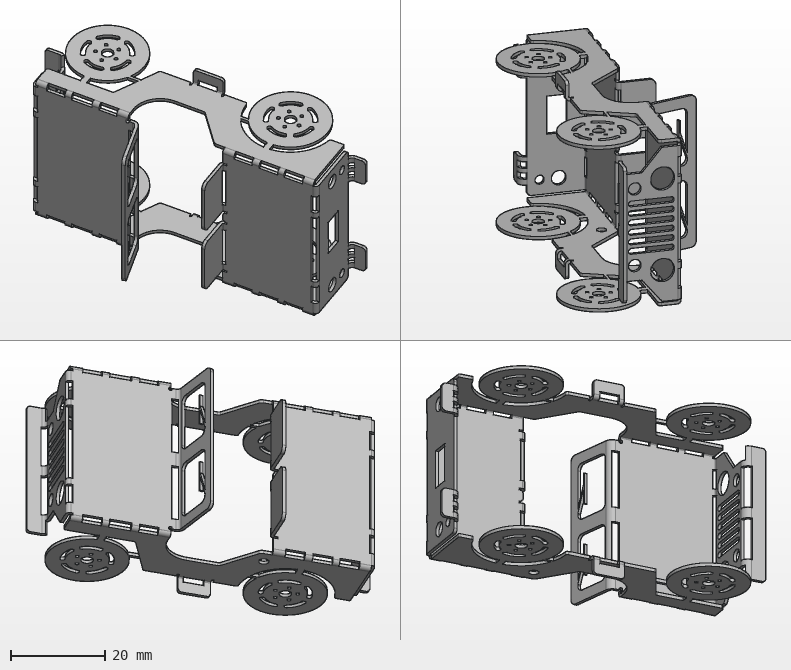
import cadquery as cq
import math


thick = 0.8
tight_inner = 0.19
wide_inner = 0.9
tight_outer = tight_inner + thick
wide_outer = wide_inner + thick
relief = 0.5

front_tip = -38.5
rear_tip = 38.5
grille_x = -34.15
rear_x = 34.85
side_z = 18.85
side_inner_z = side_z - thick
side_bend_z = side_z - tight_outer
hood_front = grille_x + tight_outer
floor_rear = rear_x - tight_outer
hood_rear = -10.85
floor_front = 12.0

front_side_slots = [(-30.55, -26.15), (-24.55, -19.6), (-17.85, -13.6)]
rear_side_slots = [(14.8, 19.1), (20.85, 25.3), (26.85, 31.3)]
end_slots = [(-14.9, -10.5), (-8.9, 8.9), (10.5, 14.9)]

grille_top_y = 12.7
grille_corner_y = 9.0
grille_shoulder_y = 4.55
grille_top_z = 12.15
grille_z = 17.5
bumper_z = 15.4
front_bumper_corner = 0.8
front_bumper_slots = [(-10.8, -1.2), (1.2, 10.8)]
front_bumper_relief = 0.2
bumper_ear_angle = 45
headlight_y = 4.4
headlight_z = 10.4
headlight_radius = 2.6
marker_y = 10.55
marker_z = 8.7
marker_radius = 1.4
grille_slot_count = 6
grille_slot_pitch = 2.15
grille_slot_width = 1.3
grille_slot_bottom = 1.85
grille_slot_top = 11.9

windshield_angle = 75
windshield_bend_x = -9.8
windshield_length = 11.3
windshield_z = 17.2
windshield_corner = 1.4
window_near = 0.3
window_far = 9.1
window_z = (1.7, 14.7)
window_corner = 1.4
hood_slot_x = -10.7
hood_slot_angle = 60
corner_relief_radius = 0.4
corner_relief_inset = 0.15
wiper_width = 0.4
wiper_blade_near = 6.9
wiper_blade_z = (5.1, 12.1)
wiper_arm_width = 0.4
wiper_arm_start = (7.15, 9.2)
wiper_arm_end = (9.2, 3.5)

seat_x = 11.3
seat_height = 7.9
seat_z = (1.7, 14.8)
seat_corner = 1.4
seat_slot_z = (3.55, 13.1)
seat_notch_width = 0.4
seat_notch_depth = 1.0
seat_tongue_corner = 0.9

rear_top_y = 13.7
rear_z = 17.85
rear_corner = 0.9
rear_bumper_z = (8.9, 15.4)
rear_bumper_corner = 0.9
rear_bumper_slots = [(10.1, 11.55), (12.6, 14.0)]
tail_hole_y = 10.9
tail_hole_radius = 1.0
lamp_hole_y = 6.7
lamp_hole_radius = 1.6
lamp_z = 14.5
rear_window_y = (4.9, 9.3)
rear_window_z = 4.3

front_wheel_x = -24.4
rear_wheel_x = 19.85
wheel_y = 15.55
wheel_radius = 8.9
hub_radius = 1.3
spoke_count = 5
lug_circle = 2.6
lug_radius = 0.4
slot_circle = 5.2
slot_half_width = 0.55
slot_mid_angle = -98
slot_half_angle = 22
link_width = 1.55
link_overlap = 0.8
link_bar_y = (10.7, 11.4)
link_bar_reach = (7.3, 10.8)

fender_radius = 10.55
side_front = -33.2
side_rear = 33.8
rail_y = wheel_y - fender_radius
sill_y = 15.8
rear_fender_y = 13.9
cowl_foot_x = -17.15
cowl_top_x = -11.85
door_top_y = 8.85
door_radius = 6.4
door_corner_x = 2.85
door_rear_x = 9.55

step_x = (-3.9, 3.3)
full_width = 44.85
step_z = full_width / 2
step_corner = 0.8
step_slot_x = (-2.8, 1.85)
step_slot_relief = 0.85
step_notch_width = 0.5
step_notch_depth = 0.8
step_notch_corner = 0.19

side_hole_x = 11.2
side_hole_y = 4.15
side_hole_radius = 1.1


def block(x, y, z):
    """Box between the (low, high) pairs x, y and z."""
    size = [high - low for low, high in (x, y, z)]
    return cq.Workplane("XY").box(*size, centered=False).translate((x[0], y[0], z[0]))


def mirrored(span):
    return (-span[1], -span[0])


def bend(center, inner, start, end, span, plane="XY"):
    """Sheet bend: a ring sector between two angles, extruded over span along the plane normal."""
    def point(radius, degrees):
        angle = math.radians(degrees)
        return (center[0] + radius * math.cos(angle), center[1] + radius * math.sin(angle))

    outer = inner + thick
    middle = (start + end) / 2
    return (
        cq.Workplane(plane).workplane(offset=span[0])
        .moveTo(*point(inner, start))
        .threePointArc(point(inner, middle), point(inner, end))
        .lineTo(*point(outer, end))
        .threePointArc(point(outer, middle), point(outer, start))
        .close().extrude(span[1] - span[0])
    )


def round_corner(body, point, radius, axis):
    """Fillet the edge along axis that lies nearest to point."""
    edge = body.edges("|" + axis).edges(cq.selectors.NearestToPointSelector(point))
    return edge.fillet(radius)


def x_cylinder(x, y, z, radius):
    """Cutter along X through one sheet that starts at x."""
    plane = cq.Workplane("YZ").workplane(offset=x)
    return plane.center(y, z).circle(radius).extrude(thick)


def wheel(x):
    body = cq.Workplane("XY").workplane(offset=side_inner_z).center(x, wheel_y)
    disc = body.circle(wheel_radius).extrude(thick)
    disc = disc.cut(body.circle(hub_radius).extrude(thick))
    lugs = body.polarArray(lug_circle, -90, 360, spoke_count).circle(lug_radius).extrude(thick)
    disc = disc.cut(lugs)
    for index in range(spoke_count):
        middle = slot_mid_angle + index * 360 / spoke_count
        disc = disc.cut(wheel_slot(x, middle))
    return disc


def wheel_slot(x, middle):
    def point(radius, degrees):
        angle = math.radians(degrees)
        return (x + radius * math.cos(angle), wheel_y + radius * math.sin(angle))

    inner = slot_circle - slot_half_width
    outer = slot_circle + slot_half_width
    start = middle - slot_half_angle
    end = middle + slot_half_angle
    cap = math.degrees(slot_half_width / slot_circle)
    return (
        cq.Workplane("XY").workplane(offset=side_inner_z)
        .moveTo(*point(inner, start))
        .threePointArc(point(inner, middle), point(inner, end))
        .threePointArc(point(slot_circle, end + cap), point(outer, end))
        .threePointArc(point(outer, middle), point(outer, start))
        .threePointArc(point(slot_circle, start - cap), point(inner, start))
        .close().extrude(thick)
    )


def side_panel():
    fender_front_x = rear_wheel_x - math.sqrt(fender_radius**2 - (sill_y - wheel_y) ** 2)
    fender_rear_x = rear_wheel_x + math.sqrt(fender_radius**2 - (rear_fender_y - wheel_y) ** 2)
    door_arc_x = hood_rear + door_radius
    door_arc_y = door_top_y - door_radius
    diagonal = door_radius * math.sqrt(0.5)
    panel = (
        cq.Workplane("XY").workplane(offset=side_inner_z)
        .moveTo(side_front, tight_outer)
        .lineTo(side_front, rail_y)
        .lineTo(cowl_foot_x, rail_y)
        .lineTo(cowl_top_x, sill_y)
        .lineTo(fender_front_x, sill_y)
        .threePointArc((rear_wheel_x, rail_y), (fender_rear_x, rear_fender_y))
        .lineTo(side_rear, rear_fender_y)
        .lineTo(side_rear, tight_outer)
        .lineTo(door_rear_x, tight_outer)
        .lineTo(door_corner_x, door_top_y)
        .lineTo(door_arc_x, door_top_y)
        .threePointArc((door_arc_x - diagonal, door_arc_y + diagonal), (hood_rear, door_arc_y))
        .lineTo(hood_rear, tight_outer)
        .close().extrude(thick)
    )
    corners = [
        (side_front, rail_y, 0.6),
        (cowl_foot_x, rail_y, 0.6),
        (cowl_top_x, sill_y, 0.6),
        (fender_front_x, sill_y, 0.5),
        (fender_rear_x, rear_fender_y, 0.6),
        (side_rear, rear_fender_y, 0.3),
        (door_corner_x, door_top_y, 0.8),
        (door_rear_x, tight_outer, 1.15),
    ]
    for x, y, radius in corners:
        panel = round_corner(panel, (x, y, side_z), radius, "Z")
    sheet = (side_inner_z, side_z)
    for x in (step_x[0] - step_notch_width, step_x[1]):
        notch = block((x, x + step_notch_width), (sill_y - step_notch_depth, sill_y), sheet)
        panel = panel.cut(notch.edges("|Z and <Y").fillet(step_notch_corner))
    return panel


def wheel_links(x, bar_side):
    """Upright link below the wheel and the level bar towards the middle of the car."""
    sheet = (side_inner_z, side_z)
    half = link_width / 2
    upright_y = (rail_y - link_overlap, wheel_y - wheel_radius + link_overlap)
    upright = block((x - half, x + half), upright_y, sheet)
    ends = sorted(x + bar_side * reach for reach in link_bar_reach)
    return upright.union(block(ends, link_bar_y, sheet))


def side_step():
    bend_z = side_z + tight_inner
    step_y = sill_y + tight_inner
    plate = block(step_x, (step_y, step_y + thick), (bend_z, step_z))
    plate = plate.edges("|Y and >Z").fillet(step_corner)
    return plate.union(bend((sill_y, bend_z), tight_inner, 270, 360, step_x, "YZ"))


def side():
    """Side at +Z with its wheels, step and the bends that join it to the hood and the floor."""
    body = side_panel().union(side_step())
    for x, bar_side in ((front_wheel_x, 1), (rear_wheel_x, -1)):
        body = body.union(wheel_links(x, bar_side)).union(wheel(x))
    slot_y = (sill_y, sill_y + tight_outer)
    slot_z = (side_inner_z, side_z + tight_inner + step_slot_relief)
    body = body.cut(block(step_slot_x, slot_y, slot_z))
    for ends in ((side_front, hood_rear), (floor_front, floor_rear)):
        body = body.union(bend((tight_outer, side_bend_z), tight_inner, 90, 180, ends, "YZ"))
    return body


def grille():
    outline = [
        (tight_outer, -grille_z),
        (grille_shoulder_y, -grille_z),
        (grille_corner_y, -grille_top_z),
        (grille_top_y, -grille_top_z),
        (grille_top_y, grille_top_z),
        (grille_corner_y, grille_top_z),
        (grille_shoulder_y, grille_z),
        (tight_outer, grille_z),
    ]
    panel = cq.Workplane("YZ").workplane(offset=grille_x).polyline(outline).close().extrude(thick)
    for sign in (-1, 1):
        panel = panel.cut(x_cylinder(grille_x, headlight_y, sign * headlight_z, headlight_radius))
        panel = panel.cut(x_cylinder(grille_x, marker_y, sign * marker_z, marker_radius))
    slots = (
        cq.Workplane("YZ").workplane(offset=grille_x)
        .center((grille_slot_bottom + grille_slot_top) / 2, 0)
        .rarray(0.8, grille_slot_pitch, 1, grille_slot_count)
        .slot2D(grille_slot_top - grille_slot_bottom, grille_slot_width)
        .extrude(thick)
    )
    return panel.cut(slots)


def front_bumper():
    bend_x = grille_x - wide_inner
    plate_y = grille_top_y + wide_inner
    center = (bend_x, grille_top_y)
    plate = block((front_tip, bend_x), (plate_y, plate_y + thick), (-bumper_z, bumper_z))
    plate = plate.edges("|Y and <X").fillet(front_bumper_corner)
    body = plate.union(bend(center, wide_inner, 0, 90, (-grille_top_z, grille_top_z)))
    body = body.union(bend(center, wide_inner, bumper_ear_angle, 90, (-bumper_z, bumper_z)))
    slot_x = (bend_x - front_bumper_relief, grille_x + thick)
    for span in front_bumper_slots:
        body = body.cut(block(slot_x, (grille_top_y, plate_y + thick), span))
    return body


def hood():
    """Hood with its narrower tongue that leads to the windshield bend."""
    panel = block((hood_front, hood_rear), (0, thick), (-grille_z, grille_z))
    rear_part = (hood_front + relief, hood_rear)
    panel = panel.union(block(rear_part, (0, thick), (-side_bend_z, side_bend_z)))
    panel = panel.union(block((hood_rear, windshield_bend_x), (0, thick), (-windshield_z, windshield_z)))
    relief_z = windshield_z - corner_relief_inset
    centers = [(hood_rear - corner_relief_inset, z) for z in (-relief_z, relief_z)]
    holes = cq.Workplane("XZ").pushPoints(centers).circle(corner_relief_radius).extrude(-thick)
    return panel.cut(holes)


def windshield():
    end_angle = 90 - windshield_angle
    center = (windshield_bend_x, -wide_inner)
    direction = math.radians(end_angle)
    normal = (math.cos(direction), math.sin(direction))
    origin = (center[0] + wide_outer * normal[0], center[1] + wide_outer * normal[1], 0)
    glass = cq.Workplane(
        cq.Plane(origin=origin, xDir=(normal[1], -normal[0], 0), normal=(-normal[0], -normal[1], 0))
    )

    def plate(x, y):
        return glass.center(sum(x) / 2, sum(y) / 2).rect(x[1] - x[0], y[1] - y[0]).extrude(thick)

    frame = plate((0, windshield_length), (-windshield_z, windshield_z))
    for z in (-windshield_z, windshield_z):
        free_corner = glass.plane.toWorldCoords((windshield_length, z, thick / 2))
        selector = cq.selectors.NearestToPointSelector(free_corner.toTuple())
        frame = frame.edges(selector).fillet(windshield_corner)

    through_edges = cq.selectors.ParallelDirSelector(glass.plane.zDir)
    for span in (window_z, mirrored(window_z)):
        opening = plate((window_near, window_far), span)
        opening = opening.edges(through_edges).fillet(window_corner)
        frame = frame.cut(opening)

    arm_run = wiper_arm_end[0] - wiper_arm_start[0]
    arm_rise = wiper_arm_end[1] - wiper_arm_start[1]
    blade = plate((wiper_blade_near, wiper_blade_near + wiper_width), wiper_blade_z)
    arm_middle = [(start + end) / 2 for start, end in zip(wiper_arm_start, wiper_arm_end)]
    arm = (
        glass.center(*arm_middle)
        .transformed(rotate=(0, 0, math.degrees(math.atan2(arm_rise, arm_run))))
        .rect(math.hypot(arm_run, arm_rise), wiper_arm_width).extrude(thick)
    )
    wiper = blade.union(arm)
    window_pitch = window_z[0] + window_z[1]
    frame = frame.union(wiper).union(wiper.translate((0, 0, -window_pitch)))
    return frame.union(bend(center, wide_inner, end_angle, 90, (-windshield_z, windshield_z)))


def floor():
    """Floor with a rounded tongue between the two seats."""
    seat_bend_x = seat_x + tight_outer
    panel = block((floor_front, floor_rear), (0, thick), (-side_bend_z, side_bend_z))
    tongue_z = seat_z[0] - seat_notch_width
    notch_x = (floor_front, floor_front + seat_notch_depth)
    for span in (seat_z, mirrored(seat_z)):
        panel = panel.cut(block((floor_front, seat_bend_x), (0, thick), span))
    for edge_z in (tongue_z, seat_z[1]):
        notch = (edge_z, edge_z + seat_notch_width)
        for span in (notch, mirrored(notch)):
            panel = panel.cut(block(notch_x, (0, thick), span))
    for z in (-tongue_z, tongue_z):
        panel = round_corner(panel, (floor_front, thick / 2, z), seat_tongue_corner, "Y")
    return panel


def seat(span):
    """Seat that hangs from the front edge of the floor between the two Z values of span."""
    bend_x = seat_x + tight_outer
    plate = block((seat_x, seat_x + thick), (-seat_height, -tight_inner), span)
    plate = plate.edges("|X and <Y").fillet(seat_corner)
    return plate.union(bend((bend_x, -tight_inner), tight_inner, 90, 180, span))


def rear_panel():
    inside_x = rear_x - thick
    panel = block((inside_x, rear_x), (tight_outer, rear_top_y), (-rear_z, rear_z))
    panel = panel.edges("|X and >Y").fillet(rear_corner)
    for sign in (-1, 1):
        panel = panel.cut(x_cylinder(inside_x, tail_hole_y, sign * lamp_z, tail_hole_radius))
        panel = panel.cut(x_cylinder(inside_x, lamp_hole_y, sign * lamp_z, lamp_hole_radius))
    return panel.cut(block((inside_x, rear_x), rear_window_y, (-rear_window_z, rear_window_z)))


def rear_bumper():
    """Rear bumper at +Z."""
    bend_x = rear_x + wide_inner
    plate_y = rear_top_y + wide_inner
    plate = block((bend_x, rear_tip), (plate_y, plate_y + thick), rear_bumper_z)
    plate = plate.edges("|Y and >X").fillet(rear_bumper_corner)
    body = plate.union(bend((bend_x, rear_top_y), wide_inner, 90, 180, rear_bumper_z))
    for span in rear_bumper_slots:
        body = body.cut(block((rear_x - thick, bend_x), (rear_top_y, plate_y + thick), span))
    return body


def hinge_slots():
    """Openings along the fold lines, which leave short bent tabs between the panels."""
    fold_y = (0, tight_outer)
    cutters = []
    for span in front_side_slots + rear_side_slots:
        across = (side_bend_z - relief, side_z)
        cutters.append(block(span, fold_y, across))
        cutters.append(block(span, fold_y, mirrored(across)))
    for span in end_slots:
        cutters.append(block((grille_x, hood_front + relief), fold_y, span))
        cutters.append(block((floor_rear - relief, rear_x), fold_y, span))
    seat_bend_x = seat_x + tight_outer
    for span in (seat_slot_z, mirrored(seat_slot_z)):
        cutters.append(block((seat_x, seat_bend_x + relief), (-tight_inner, thick), span))
    for span in (window_z, mirrored(window_z)):
        cutters.append(block((hood_slot_x, windshield_bend_x), (0, thick), span))
        cutters.append(bend((windshield_bend_x, -wide_inner), wide_inner, hood_slot_angle, 90, span))
    return cutters


front_fold = bend((hood_front, tight_outer), tight_inner, 180, 270, (-grille_z, grille_z))
rear_fold = bend((floor_rear, tight_outer), tight_inner, 270, 360, (-rear_z, rear_z))
plus_z_side = side()
side_hole = (
    cq.Workplane("XY").workplane(offset=-side_z)
    .center(side_hole_x, side_hole_y).circle(side_hole_radius).extrude(thick)
)
plus_z_bumper = rear_bumper()

result = hood()
for piece in (
    front_fold,
    grille(),
    front_bumper(),
    windshield(),
    plus_z_side,
    plus_z_side.mirror("XY").cut(side_hole),
    floor(),
    seat(seat_z),
    seat(mirrored(seat_z)),
    rear_fold,
    rear_panel(),
    plus_z_bumper,
    plus_z_bumper.mirror("XY"),
):
    result = result.union(piece)
for cutter in hinge_slots():
    result = result.cut(cutter)